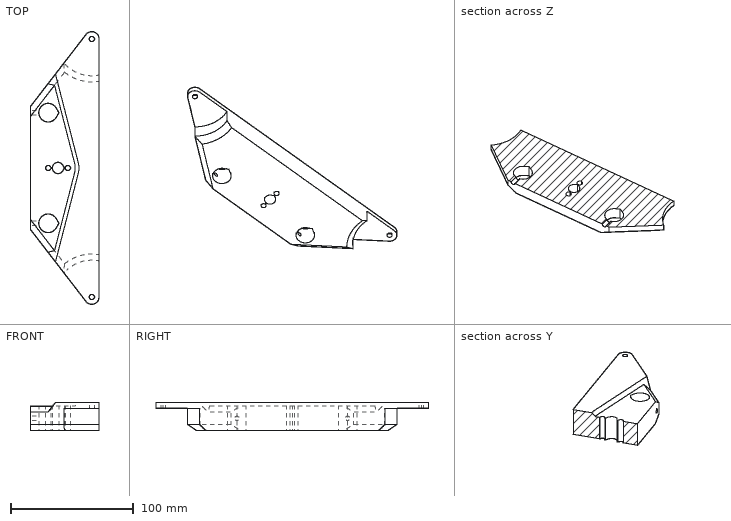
import cadquery as cq
import math

depth = 56.0
height = 23.0

plate_thickness = 5.0
ear_radius = 6.0
ear_x = depth - ear_radius
ear_y = 105.0
front_half_width = 50.0

ear_clearance_radius = 30.0
edge_chamfer = 5.0

floor_z = 20.0
recess_apex_x = 36.55
recess_side_angle = 14.45
recess_apex_radius = 15.0
recess_wall_draft = 45.0

screw_diameter = 4.0
large_hole_diameter = 15.0
large_hole_x = 14.5
large_hole_y = 45.0
center_hole_diameter = 9.0
center_hole_x = 22.5
center_screw_offset = 8.0
hole_tip_half_angle = 60.0

cross_hole_diameter = 3.5
cross_hole_z = 10.0

corner_to_ear_x = ear_x
corner_to_ear_y = ear_y - front_half_width
side_angle = math.atan2(corner_to_ear_y, corner_to_ear_x) + math.asin(
    ear_radius / math.hypot(corner_to_ear_x, corner_to_ear_y)
)
side_normal = (-math.sin(side_angle), math.cos(side_angle))


def cut_both_sides(solid, cutter):
    """Remove a cutter and its reflection across Y = 0."""
    return solid.cut(cutter).cut(cutter.mirror("XZ"))


def plan_outline():
    """Full plan outline of the part: slanted sides tangent to the rounded ears."""
    tangent_x = ear_x + ear_radius * side_normal[0]
    tangent_y = ear_y + ear_radius * side_normal[1]
    mid_angle = (math.pi / 2 + side_angle) / 2
    mid_x = ear_x + ear_radius * math.cos(mid_angle)
    mid_y = ear_y + ear_radius * math.sin(mid_angle)
    return (
        cq.Workplane("XY")
        .moveTo(0, -front_half_width)
        .lineTo(tangent_x, -tangent_y)
        .threePointArc((mid_x, -mid_y), (depth, -ear_y))
        .lineTo(depth, ear_y)
        .threePointArc((mid_x, mid_y), (tangent_x, tangent_y))
        .lineTo(0, front_half_width)
        .close()
    )


def side_chamfer_cutter(z, direction):
    """Triangular bar along the +Y slanted side, removing its edge at height z.

    The direction is +1 when the chamfer lies above z and -1 when it lies below.
    """
    plane = cq.Plane(
        origin=(0, front_half_width, z),
        xDir=(side_normal[0], side_normal[1], 0),
        normal=(math.cos(side_angle), math.sin(side_angle), 0),
    )
    return (
        cq.Workplane(plane)
        .moveTo(-edge_chamfer, 0)
        .lineTo(0, 0)
        .lineTo(0, direction * edge_chamfer)
        .close()
        .extrude(ear_y, both=True)
    )


def ear_clearance():
    """Space below the +Y ear, flaring outward at the bottom to chamfer the body."""
    underside_z = height - plate_thickness
    bore = (
        cq.Workplane("XY", origin=(ear_x, ear_y, 0))
        .circle(ear_clearance_radius)
        .extrude(underside_z)
    )
    flare = cq.Workplane(
        cq.Solid.makeCone(
            ear_clearance_radius + edge_chamfer,
            ear_clearance_radius,
            edge_chamfer,
            pnt=cq.Vector(ear_x, ear_y, 0),
        )
    )
    return bore.union(flare)


def recess_cutter():
    """Sloped-wall V recess, stopping at a floor with chamfered slanted edges."""
    side = math.radians(recess_side_angle)
    bottom_z = floor_z - edge_chamfer
    base_radius = recess_apex_radius - edge_chamfer * math.tan(math.radians(recess_wall_draft))
    arc_center_x = recess_apex_x - recess_apex_radius
    arc_end_x = arc_center_x + base_radius * math.cos(side)
    arc_end_y = base_radius * math.sin(side)
    far_y = ear_y
    far_x = arc_end_x - (far_y - arc_end_y) * math.tan(side)
    outer_x = far_x - depth
    recess = (
        cq.Workplane("XY", origin=(0, 0, bottom_z))
        .moveTo(outer_x, -far_y)
        .lineTo(far_x, -far_y)
        .lineTo(arc_end_x, -arc_end_y)
        .threePointArc((arc_center_x + base_radius, 0), (arc_end_x, arc_end_y))
        .lineTo(far_x, far_y)
        .lineTo(outer_x, far_y)
        .close()
        .extrude(height - bottom_z, taper=-recess_wall_draft)
    )
    floor = plan_outline().extrude(floor_z)
    floor = cut_both_sides(floor, side_chamfer_cutter(floor_z, -1))
    return recess.cut(floor)


def vertical_holes(points, diameter):
    """Through holes, each with two flat flanks meeting in a shallow tip on the +X side."""
    radius = diameter / 2
    tip_angle = math.radians(hole_tip_half_angle)
    tip_x = radius / math.sin(tip_angle)
    flank_x = radius * math.sin(tip_angle)
    flank_y = radius * math.cos(tip_angle)
    hole = (
        cq.Workplane("XY")
        .moveTo(flank_x, flank_y)
        .threePointArc((-radius, 0), (flank_x, -flank_y))
        .lineTo(tip_x, 0)
        .close()
        .extrude(height)
    )
    holes = cq.Workplane("XY")
    for x, y in points:
        holes = holes.add(hole.translate((x, y, 0)))
    return holes.combine()


def cross_holes():
    """Holes from the front face into the large vertical holes."""
    return (
        cq.Workplane("YZ")
        .pushPoints([(large_hole_y, cross_hole_z), (-large_hole_y, cross_hole_z)])
        .circle(cross_hole_diameter / 2)
        .extrude(large_hole_x)
    )


screw_points = [
    (ear_x, ear_y),
    (ear_x, -ear_y),
    (center_hole_x - center_screw_offset, 0),
    (center_hole_x + center_screw_offset, 0),
]
large_hole_points = [(large_hole_x, large_hole_y), (large_hole_x, -large_hole_y)]

part = plan_outline().extrude(height)
part = cut_both_sides(part, side_chamfer_cutter(0, 1))
part = cut_both_sides(part, ear_clearance())
part = part.cut(recess_cutter())
part = part.cut(vertical_holes(screw_points, screw_diameter))
part = part.cut(vertical_holes(large_hole_points, large_hole_diameter))
part = part.cut(vertical_holes([(center_hole_x, 0)], center_hole_diameter))
result = part.cut(cross_holes())